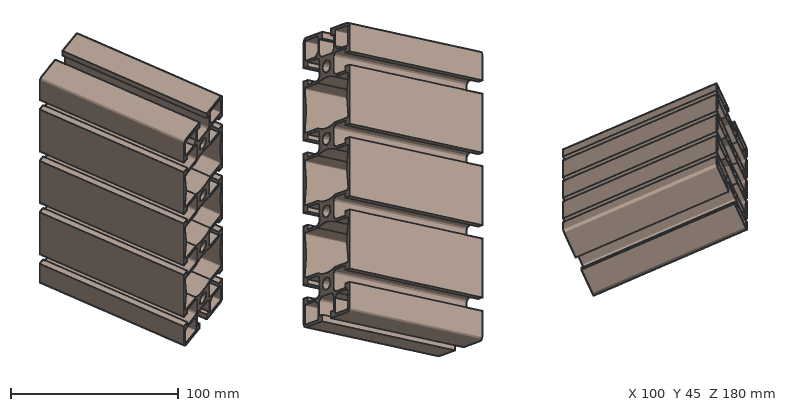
import cadquery as cq

height = 180.0
cell_count = 4
cell = height / cell_count
length = 100.0
half_cell = cell / 2
corner_radius = 2.9

slot_opening = 8.3
lip_thickness = 4.1
slot_inner_width = 13.9
slot_depth = 15.5
slot_fillet = 2.9

bore_diameter = 7.4

corner_wall = 1.8
corner_cavity_size = 12.5
corner_cavity_chamfer = 2.5
corner_cavity_fillet = 0.9

cavity_half_height = 14.0
cavity_end_wall = 1.3
cavity_mid_wall = 2.9
cavity_fillet = 1.3
bulge_half_width = 8.5
bulge_height = 1.8


def block(width, tall, center_y, center_z):
    """Full-length bar with a rectangular section centred at (center_y, center_z)."""
    return cq.Workplane("YZ").center(center_y, center_z).rect(width, tall).extrude(length)


def t_slot():
    """T-slot cutter: mouth at Z = half_cell, opening upwards, cell centre at the origin."""
    lip_z = half_cell - lip_thickness
    mouth = block(slot_opening, lip_thickness, 0, half_cell - lip_thickness / 2)
    chamber_depth = slot_depth - lip_thickness
    chamber = block(slot_inner_width, chamber_depth, 0, lip_z - chamber_depth / 2)
    chamber = chamber.faces("<Z").edges("|X").fillet(slot_fillet)
    return chamber.union(mouth)


def corner_cavity():
    """Box cavity in the +Y, +Z corner of a cell centred at the origin."""
    center = half_cell - corner_wall - corner_cavity_size / 2
    cavity = block(corner_cavity_size, corner_cavity_size, center, center)
    cavity = cavity.edges("|X and <Y and <Z").chamfer(corner_cavity_chamfer)
    return cavity.edges("|X and (>Y or >Z)").fillet(corner_cavity_fillet)


def large_cavity():
    """Cavity between two cells: walls thickest at mid-height, bulging towards both bores."""
    y_end = half_cell - cavity_end_wall
    y_mid = half_cell - cavity_mid_wall
    z_end = cavity_half_height
    z_bulge = z_end + bulge_height
    cavity = (
        cq.Workplane("YZ")
        .moveTo(-y_end, z_end)
        .lineTo(-bulge_half_width, z_end)
        .threePointArc((0, z_bulge), (bulge_half_width, z_end))
        .lineTo(y_end, z_end)
        .lineTo(y_mid, 0)
        .lineTo(y_end, -z_end)
        .lineTo(bulge_half_width, -z_end)
        .threePointArc((0, -z_bulge), (-bulge_half_width, -z_end))
        .lineTo(-y_end, -z_end)
        .lineTo(-y_mid, 0)
        .close()
        .extrude(length)
    )
    return cavity.edges("|X and (<Y or >Y)").fillet(cavity_fillet)


body = block(cell, height, 0, 0).edges("|X").fillet(corner_radius)

side_slot = t_slot().rotate((0, 0, 0), (1, 0, 0), 90)
bore = cq.Workplane("YZ").circle(bore_diameter / 2).extrude(length)
cell_centers = [(i + 0.5) * cell - height / 2 for i in range(cell_count)]
for z in cell_centers:
    for cutter in (side_slot, side_slot.mirror("XZ"), bore):
        body = body.cut(cutter.translate((0, 0, z)))

for z in cell_centers[:-1]:
    body = body.cut(large_cavity().translate((0, 0, z + half_cell)))

end_cutters = [t_slot(), corner_cavity(), corner_cavity().mirror("XZ")]
for cutter in end_cutters:
    top_cutter = cutter.translate((0, 0, cell_centers[-1]))
    body = body.cut(top_cutter).cut(top_cutter.mirror("XY"))

result = body.translate((-length / 2, 0, 0))